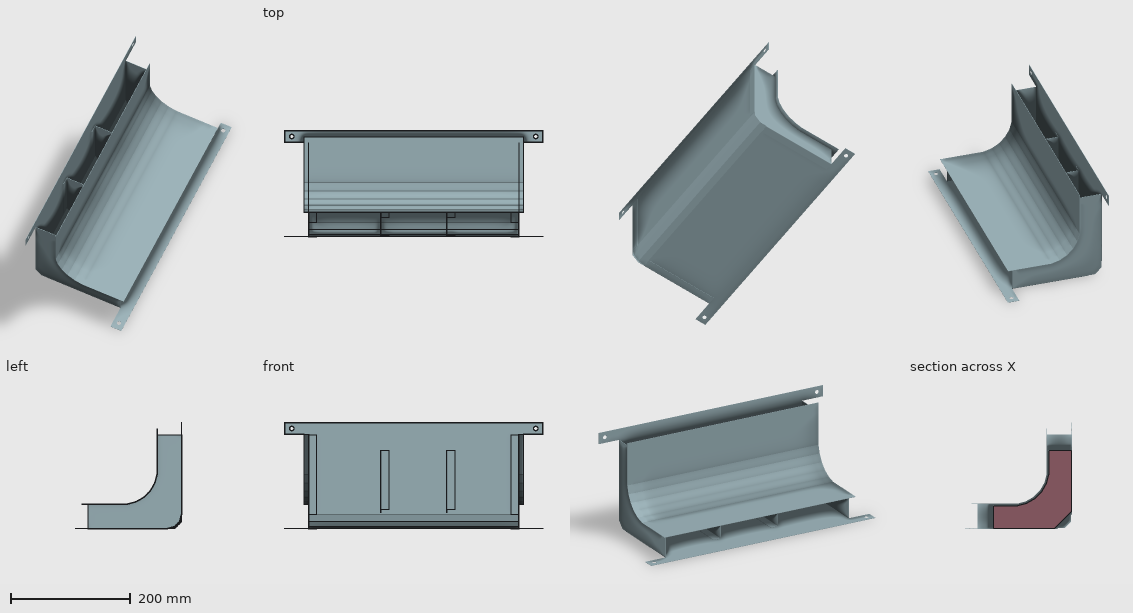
import cadquery as cq
import math


thickness = 0.6
leg_length = 177.7
duct_depth = 40.0
flange_width = 14.0
flange_bend_radius = 1.0

cover_outer = thickness
cover_inner = cover_outer + thickness
duct_top = cover_inner + duct_depth
inner_cover_top = duct_top + thickness

cover_width = 350.0
tab_span = 430.5
tab_height = 20.0
hole_diameter = 7.0
hole_spacing = 407.0
hole_from_end = 10.0
cover_facet_angles = [15, 45, 75]
cover_facet_length = 12.1

inner_cover_width = 367.0
inner_cover_end = leg_length - 10.6
inner_facet_angles = [15, 30, 45, 60, 75]
inner_facet_length = 15.0

end_plate_span = 352.0
end_plate_end = leg_length - tab_height - thickness
end_plate_corner_chamfer = 11.0

first_divider_x = -55.2
divider_spacing = 110.0
divider_count = 2
divider_end = 131.0
divider_flange_start = 32.4
divider_gap = 2.0
divider_corner_chamfer = 27.0


def bend_points(layer, angles, facet_length):
    """Corner points (y, z) of a faceted bend, from the wall at Y = layer to the floor at Z = layer."""
    y = layer
    z = layer + facet_length * sum(math.cos(math.radians(a)) for a in angles)
    points = [(y, z)]
    for angle in angles:
        y += facet_length * math.sin(math.radians(angle))
        z -= facet_length * math.cos(math.radians(angle))
        points.append((y, z))
    return points


def offset_bend(points, distance):
    """The same bend moved outward, toward the elbow corner, with parallel flats."""
    directions = [0.0]
    for (y0, z0), (y1, z1) in zip(points, points[1:]):
        directions.append(math.atan2(y1 - y0, z0 - z1))
    directions.append(math.pi / 2)
    moved = []
    for (y, z), before, after in zip(points, directions, directions[1:]):
        lean = (before + after) / 2
        reach = distance / math.cos((after - before) / 2)
        moved.append((y - reach * math.cos(lean), z - reach * math.sin(lean)))
    return moved


def leg_outline(outer_points, inner_points, end):
    """Closed elbow outline in the YZ plane between two bends, with both legs cut off at end."""
    outer_layer = outer_points[0][0]
    inner_layer = inner_points[0][0]
    outer_side = [(outer_layer, end), *outer_points, (end, outer_layer)]
    inner_side = [(end, inner_layer), *reversed(inner_points), (inner_layer, end)]
    return cq.Workplane("YZ").polyline(outer_side + inner_side).close()


def block(x_range, y_range, z_range):
    (x0, x1), (y0, y1), (z0, z1) = x_range, y_range, z_range
    return cq.Workplane("XY").box(x1 - x0, y1 - y0, z1 - z0, centered=False).translate((x0, y0, z0))


def floor_twin(wall_feature):
    """Mirror image of a wall feature about the plane Y = Z."""
    return wall_feature.mirror(cq.Vector(0, 1, -1))


inner_cover_upper_bend = bend_points(inner_cover_top, inner_facet_angles, inner_facet_length)
inner_cover_lower_bend = offset_bend(inner_cover_upper_bend, thickness)
cover_outer_bend = bend_points(cover_outer, cover_facet_angles, cover_facet_length)
cover_inner_bend = offset_bend(cover_outer_bend, -thickness)
cover_bend_start = cover_outer_bend[0][1]


def make_outer_cover():
    outline = leg_outline(cover_outer_bend, cover_inner_bend, leg_length)
    cover = outline.extrude(cover_width / 2, both=True)
    wall_tabs = block(
        (-tab_span / 2, tab_span / 2),
        (cover_outer, cover_inner),
        (leg_length - tab_height, leg_length),
    )
    wall_holes = (
        cq.Workplane("XZ")
        .pushPoints([(side * hole_spacing / 2, leg_length - hole_from_end) for side in (-1, 1)])
        .circle(hole_diameter / 2)
        .extrude(-cover_inner)
    )
    cover = cover.union(wall_tabs).union(floor_twin(wall_tabs))
    return cover.cut(wall_holes).cut(floor_twin(wall_holes))


def make_inner_cover():
    outline = leg_outline(inner_cover_lower_bend, inner_cover_upper_bend, inner_cover_end)
    return outline.extrude(inner_cover_width / 2, both=True)


def flange_strip(layer, start, end):
    """Flange along the wall with its outer face at Y = layer, and its bend into a web at X = 0."""
    outer_r = flange_bend_radius
    inner_r = outer_r - thickness
    diagonal = math.sqrt(0.5)
    profile = (
        cq.Workplane("XY")
        .moveTo(0, layer + outer_r)
        .threePointArc(
            (outer_r - outer_r * diagonal, layer + outer_r - outer_r * diagonal),
            (outer_r, layer),
        )
        .lineTo(flange_width, layer)
        .lineTo(flange_width, layer + thickness)
        .lineTo(outer_r, layer + thickness)
        .threePointArc(
            (outer_r - inner_r * diagonal, layer + outer_r - inner_r * diagonal),
            (thickness, layer + outer_r),
        )
        .close()
    )
    return profile.extrude(end - start).translate((0, 0, start))


def flanged_web(web, layer, start, end):
    """A web standing at X = 0 with a flange toward +X on the wall and another on the floor."""
    flange = flange_strip(layer, start, end)
    return web.union(flange).union(floor_twin(flange))


def make_left_end_plate():
    web_edge = flange_bend_radius
    chamfer_end = web_edge + end_plate_corner_chamfer
    corner = [(web_edge, chamfer_end), (chamfer_end, web_edge)]
    web = leg_outline(corner, inner_cover_lower_bend, end_plate_end).extrude(thickness)
    plate = flanged_web(web, 0, cover_bend_start, end_plate_end)
    return plate.translate((-end_plate_span / 2, 0, 0))


def make_divider():
    flange_edge = cover_inner + flange_bend_radius
    chamfer_end = cover_inner + divider_corner_chamfer
    corner = [(cover_inner, chamfer_end), (chamfer_end, cover_inner)]
    inner_edge = offset_bend(inner_cover_lower_bend, divider_gap)
    web = leg_outline(corner, inner_edge, divider_end).extrude(thickness)
    bend_space = block((0, thickness), (0, flange_edge), (divider_flange_start, divider_end))
    web = web.cut(bend_space).cut(floor_twin(bend_space))
    return flanged_web(web, cover_inner, divider_flange_start, divider_end)


outer_cover = make_outer_cover()
inner_cover = make_inner_cover()
left_end_plate = make_left_end_plate()
right_end_plate = left_end_plate.mirror("YZ")
divider = make_divider()
dividers = [
    divider.translate((first_divider_x + i * divider_spacing, 0, 0)) for i in range(divider_count)
]

result = cq.Compound.makeCompound(
    [
        outer_cover.val(),
        inner_cover.val(),
        left_end_plate.val(),
        right_end_plate.val(),
        *[body.val() for body in dividers],
    ]
)